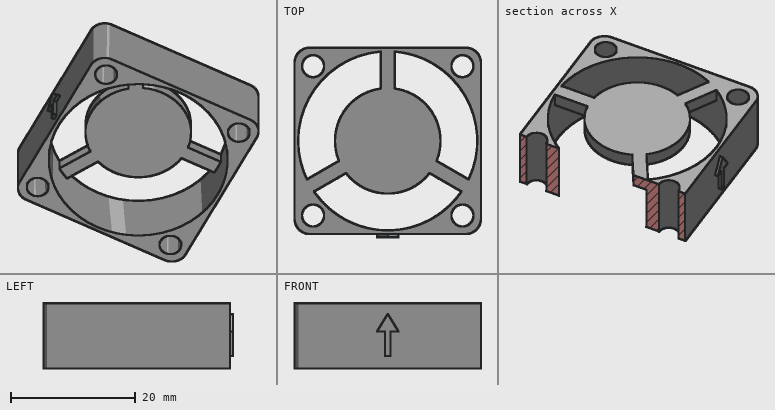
import cadquery as cq

frame_side = 30.0
frame_height = 10.5
corner_radius = 2.5
bore_diameter = 28.75

hole_diameter = 3.5
hole_spacing = 24.0

hub_diameter = 17.0
hub_thickness = 2.3
strut_width = 2.3
strut_count = 3
first_strut_angle = 90.0
strut_overlap = 0.3

arrow_relief = 0.5
arrow_bottom = 2.0
arrow_shoulder = 6.0
arrow_tip = 8.75
arrow_head_width = 3.4
arrow_stem_width = 0.85


def make_frame():
    """Rounded square frame with the through bore and four mounting holes."""
    return (
        cq.Workplane("XY")
        .rect(frame_side, frame_side)
        .extrude(frame_height)
        .edges("|Z")
        .fillet(corner_radius)
        .faces(">Z")
        .workplane()
        .hole(bore_diameter)
        .faces(">Z")
        .workplane()
        .rect(hole_spacing, hole_spacing, forConstruction=True)
        .vertices()
        .hole(hole_diameter)
    )


def make_hub():
    """Motor hub disc with radial struts reaching into the frame wall."""
    hub_plane = cq.Workplane("XY").workplane(offset=frame_height - hub_thickness)
    hub = hub_plane.circle(hub_diameter / 2).extrude(hub_thickness)
    strut_length = bore_diameter / 2 + strut_overlap
    strut = hub_plane.rect(strut_length, strut_width, centered=(False, True)).extrude(hub_thickness)
    for index in range(strut_count):
        angle = first_strut_angle + index * 360.0 / strut_count
        hub = hub.union(strut.rotate((0, 0, 0), (0, 0, 1), angle))
    return hub


def make_arrow():
    """Arrow pointing up, standing out from the -Y face."""
    half_head = arrow_head_width / 2
    half_stem = arrow_stem_width / 2
    return (
        cq.Workplane("XZ", origin=(0, -frame_side / 2, 0))
        .polyline(
            [
                (-half_stem, arrow_bottom),
                (half_stem, arrow_bottom),
                (half_stem, arrow_shoulder),
                (half_head, arrow_shoulder),
                (0, arrow_tip),
                (-half_head, arrow_shoulder),
                (-half_stem, arrow_shoulder),
            ]
        )
        .close()
        .extrude(arrow_relief)
    )


result = make_frame().union(make_hub()).union(make_arrow())